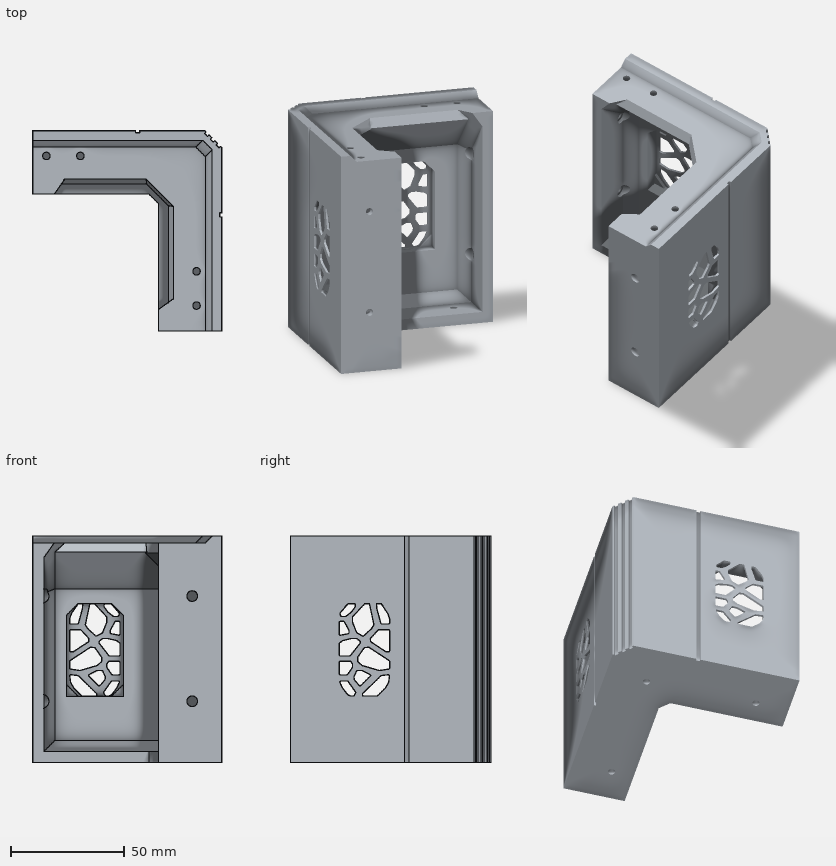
import cadquery as cq
import math

SIZE_X = 83.5
SIZE_Y = 88.5
HEIGHT = 100.0
LEG_DEPTH = 28.0
INNER_X = SIZE_X - LEG_DEPTH
INNER_Y = SIZE_Y - LEG_DEPTH
OUTER_CHAMFER = 7.6
INNER_CHAMFER = 4.2
REACH = 300.0

WALL = 7.3
FRAME = 5.0
BEVEL = 4.9
BACK_CORNER = 14.1
CORNER_BEVEL = 1.8
CAVITY_DEPTH = LEG_DEPTH - WALL
BEVEL_DEPTH = CAVITY_DEPTH - BEVEL

RIM_RISE = 3.0
RIM_DEPTH = CAVITY_DEPTH + RIM_RISE
RIM_CORNER = 4.2
LEDGE_Z = HEIGHT - RIM_RISE

LIP_DEPTH = 4.5
LIP_Z = 92.9
LIP_CORNER = 9.8
LIP_CORNER_Z = 92.5
LIP_TOP_DEPTH = 6.6
LIP_TOP_CORNER = 12.1
ROOF_BACK_Z = LIP_Z - (CAVITY_DEPTH - LIP_DEPTH)
END_BEVEL_START_Z = 90.5

WINDOW_WIDTH = 25.1
WINDOW_HEIGHT = 41.1
WINDOW_Z = 29.2
WINDOW_CHAMFER = 5.3
WINDOW_START_X = 14.9
WINDOW_END_Y = 45.2
GRATE = 1.0
GUSSET = 1.3
RIDGE_LENGTH = 7.0
RIDGE_WIDTH = 0.8
RIDGE_HEIGHT = 0.3
RIDGE_INSET = 3.1
CELL_ROUND = 0.4

GRATE_CELLS = [
    [(1.5, 32), (1.5, 34.3), (2.3, 36.6), (5.2, 40.9), (7.2, 40.9), (7, 38.6), (5.2, 32)],
    [(10.4, 40.9), (12.4, 40.9), (17.8, 35.1), (17.8, 32.8),
     (15.9, 28.1), (13.1, 26.6), (9.5, 29.9), (8.4, 31.6)],
    [(16.7, 40.9), (19.7, 40.9), (23.3, 36.8), (23, 35.4), (20.7, 35.4), (18.4, 37.2), (16.7, 39.5)],
    [(21.5, 33.1), (23.6, 33.1), (23.6, 27), (19.4, 27.8), (19.4, 29.1)],
    [(1.5, 29.4), (6.4, 29.4), (9.9, 25.6), (9.8, 24.2), (3.1, 19.8), (1.5, 19.8)],
    [(14.5, 24.4), (15.9, 25.5), (18.4, 25.5), (22.2, 24.6),
     (23.6, 23.5), (23.6, 17.9), (18.9, 17.9), (14.5, 23.5)],
    [(1.5, 15.7), (10.6, 21.7), (12.6, 21.5), (15.5, 17.3),
     (15.5, 15.4), (13.5, 13.7), (6, 11.5), (1.5, 12.2)],
    [(18.6, 15.5), (23.6, 15.5), (23.6, 9.6), (20.1, 9.6), (17.9, 12.8), (17.9, 14.4)],
    [(9.6, 9.4), (13.5, 11.4), (15.9, 11.4), (17.1, 8.8), (17, 7.4), (14.5, 4.5)],
    [(1.5, 9.6), (5.2, 9.2), (13.4, 1.2), (13.4, 0.3), (6.8, 0.3), (3.3, 3.8), (1.9, 6.3)],
    [(16.4, 1.8), (19.9, 6.8), (23.6, 6.8), (22.2, 3.8), (19.9, 0.8), (18.7, 0.3), (17.2, 0.3)],
]

GROOVE_WIDTH = 1.8
GROOVE_DEPTH = 0.9
GROOVE_X = 46.3
GROOVE_Y = 51.3
CORNER_GROOVE_PITCH = 3.6

END_HOLE_HEIGHTS = (27.1, 73.5)
END_HOLE_INSET = 13.1
LEG_X_END_DIAMETER = 3.3
LEG_Y_END_DIAMETER = 4.7
COUNTERBORE_DIAMETER = 6.2
COUNTERBORE_START = 3.5
TOP_HOLE_DIAMETER = 3.3
TOP_HOLE_DEPTH = 10.0
TOP_HOLE_INSET = 11.2
TOP_HOLES_X = (6.1, 21.1)
TOP_HOLES_Y = (11.3, 26.4)
FLOOR_HOLE_DIAMETER = 3.2
FLOOR_CORNER_INSET = 18.7
FLOOR_END_INSET = 17.9
FLOOR_END_DISTANCE = 15.0

TOWARD_X = cq.Vector(1, 0, 0)
TOWARD_Y = cq.Vector(0, 1, 0)
TOWARD_CORNER = cq.Vector(1, 1, 0)
UP = cq.Vector(0, 0, 1)


def along_wall(outward, profile):
    """Long horizontal prism from a profile of (distance from the origin along outward, height)."""
    plane = cq.Plane(origin=(0, 0, 0), xDir=outward, normal=outward.cross(UP))
    return cq.Workplane(plane).polyline(profile).close().extrude(REACH, both=True)


def mitred(profile_x, profile_y, profile_corner):
    """Space shared by the prisms of leg Y, leg X and the corner cut between them."""
    shape = along_wall(TOWARD_X, profile_x)
    shape = shape.intersect(along_wall(TOWARD_Y, profile_y))
    return shape.intersect(along_wall(TOWARD_CORNER, profile_corner))


def to_corner(depth, corner_cut):
    """Distance from the origin to a corner cut between two walls at the same depth."""
    return (INNER_X + INNER_Y + 2 * depth - corner_cut) / math.sqrt(2)


def prism(plane, outline, length):
    return cq.Workplane(plane).polyline(outline).close().extrude(length)


def bore(start, direction, diameter, length):
    return cq.Workplane(cq.Solid.makeCylinder(diameter / 2, length, cq.Vector(start), direction))


def make_block():
    plan = [
        (0, INNER_Y),
        (INNER_X - INNER_CHAMFER, INNER_Y),
        (INNER_X, INNER_Y - INNER_CHAMFER),
        (INNER_X, 0),
        (SIZE_X, 0),
        (SIZE_X, SIZE_Y - OUTER_CHAMFER),
        (SIZE_X - OUTER_CHAMFER, SIZE_Y),
        (0, SIZE_Y),
    ]
    return prism("XY", plan, HEIGHT)


def make_step():
    """Space above the ledge, bounded by the sloping inside of the rim."""

    def profile(ledge_edge, rim_edge):
        return [(-REACH, LEDGE_Z), (ledge_edge, LEDGE_Z), (rim_edge, HEIGHT), (-REACH, HEIGHT)]

    return mitred(
        profile(INNER_X + CAVITY_DEPTH, INNER_X + RIM_DEPTH),
        profile(INNER_Y + CAVITY_DEPTH, INNER_Y + RIM_DEPTH),
        profile(to_corner(CAVITY_DEPTH, RIM_CORNER), to_corner(RIM_DEPTH, RIM_CORNER)),
    )


def cavity_profile(back, bevel, roof_back_z, lip, lip_z, lip_top):
    """Cavity section: floor, 45 degree bevel, back wall, sloping roof and roof lip."""
    return [
        (-REACH, FRAME),
        (back - bevel, FRAME),
        (back, FRAME + bevel),
        (back, roof_back_z),
        (lip, lip_z),
        (lip_top, LEDGE_Z),
        (-REACH, LEDGE_Z),
    ]


def leg_profile(inner):
    back = inner + CAVITY_DEPTH
    return cavity_profile(back, BEVEL, ROOF_BACK_Z, inner + LIP_DEPTH, LIP_Z, inner + LIP_TOP_DEPTH)


def corner_profile():
    back = to_corner(CAVITY_DEPTH, BACK_CORNER)
    lip = to_corner(LIP_DEPTH, LIP_CORNER)
    lip_top = to_corner(LIP_TOP_DEPTH, LIP_TOP_CORNER)
    roof_back_z = LIP_CORNER_Z - (back - lip) / math.sqrt(2)
    return cavity_profile(back, CORNER_BEVEL, roof_back_z, lip, LIP_CORNER_Z, lip_top)


def end_bevel(outward, along, inner):
    """Half space on the end wall side of the bevel between an end wall and the 45 degree roof."""
    start = outward * inner + UP * END_BEVEL_START_Z + along * FRAME
    toward_roof = (outward + UP).normalized()
    plane = cq.Plane(origin=start, xDir=outward - UP, normal=toward_roof - along)
    return cq.Workplane(plane).rect(2 * REACH, 2 * REACH).extrude(REACH)


def make_cavity():
    cavity = mitred(leg_profile(INNER_X), leg_profile(INNER_Y), corner_profile())
    back_x = INNER_X + CAVITY_DEPTH
    back_y = INNER_Y + CAVITY_DEPTH
    plan_inside_end_walls = [
        (FRAME, FRAME),
        (INNER_X + BEVEL_DEPTH, FRAME),
        (back_x, FRAME + BEVEL),
        (back_x, back_y),
        (FRAME + BEVEL, back_y),
        (FRAME, INNER_Y + BEVEL_DEPTH),
    ]
    cavity = cavity.intersect(prism("XY", plan_inside_end_walls, HEIGHT))
    cavity = cavity.cut(end_bevel(TOWARD_Y, TOWARD_X, INNER_Y))
    return cavity.cut(end_bevel(TOWARD_X, TOWARD_Y, INNER_X))


def make_window(origin, across, inward):
    """Recess with a grate at the outer face; origin is the window's lower left outer corner."""
    outer_face = cq.Plane(origin=origin, xDir=across, normal=inward)
    width, height, cut = WINDOW_WIDTH, WINDOW_HEIGHT, WINDOW_CHAMFER
    outline = [
        (0, 0),
        (width, 0),
        (width, height - cut),
        (width - cut, height),
        (cut, height),
        (0, height - cut),
    ]
    window = prism(outer_face, outline, WALL).cut(prism(outer_face, outline, GRATE))

    left_gusset = [(0, 0), (cut, 0), (0, cut)]
    right_gusset = [(width, 0), (width, cut), (width - cut, 0)]
    for triangle in (left_gusset, right_gusset):
        window = window.cut(prism(outer_face, triangle, GRATE + GUSSET))

    ridge = (
        cq.Workplane(outer_face)
        .workplane(offset=RIDGE_INSET - RIDGE_WIDTH / 2)
        .center(width / 2, 0)
        .rect(RIDGE_LENGTH, 2 * RIDGE_HEIGHT)
        .extrude(RIDGE_WIDTH)
    )
    window = window.cut(ridge)

    across_wall = cq.selectors.ParallelDirSelector(inward)
    for cell in GRATE_CELLS:
        opening = prism(outer_face, cell, GRATE)
        window = window.union(opening.edges(across_wall).fillet(CELL_ROUND))
    return window


def groove(x, y, angle):
    """Vertical groove through the full height, centred on an outer face."""
    bar = cq.Workplane("XY").rect(GROOVE_WIDTH, 2 * GROOVE_DEPTH).extrude(HEIGHT)
    return bar.rotate((0, 0, 0), (0, 0, 1), angle).translate((x, y, 0))


def make_grooves():
    grooves = groove(GROOVE_X, SIZE_Y, 0).union(groove(SIZE_X, GROOVE_Y, 90))
    middle_x = SIZE_X - OUTER_CHAMFER / 2
    middle_y = SIZE_Y - OUTER_CHAMFER / 2
    for step in (-1, 0, 1):
        shift = step * CORNER_GROOVE_PITCH / math.sqrt(2)
        grooves = grooves.union(groove(middle_x + shift, middle_y - shift, -45))
    return grooves


def make_end_holes():
    """Holes through the two end walls, counterbored from inside the cavity."""
    x = SIZE_X - END_HOLE_INSET
    y = SIZE_Y - END_HOLE_INSET
    length = FRAME + BEVEL
    holes = cq.Workplane("XY")
    for z in END_HOLE_HEIGHTS:
        holes = holes.add(bore((0, y, z), TOWARD_X, LEG_X_END_DIAMETER, length))
        holes = holes.add(bore((COUNTERBORE_START, y, z), TOWARD_X, COUNTERBORE_DIAMETER, length))
        holes = holes.add(bore((x, 0, z), TOWARD_Y, LEG_Y_END_DIAMETER, length))
        holes = holes.add(bore((x, COUNTERBORE_START, z), TOWARD_Y, COUNTERBORE_DIAMETER, length))
    return holes.combine()


def make_top_holes():
    """Blind holes down from the ledge."""
    places = [(x, SIZE_Y - TOP_HOLE_INSET) for x in TOP_HOLES_X]
    places += [(SIZE_X - TOP_HOLE_INSET, y) for y in TOP_HOLES_Y]
    bottom = cq.Workplane("XY").workplane(offset=LEDGE_Z - TOP_HOLE_DEPTH)
    return bottom.pushPoints(places).circle(TOP_HOLE_DIAMETER / 2).extrude(TOP_HOLE_DEPTH)


def make_floor_holes():
    """Holes through the floor slab, one in the corner and one near each end."""
    places = [
        (SIZE_X - FLOOR_CORNER_INSET, SIZE_Y - FLOOR_CORNER_INSET),
        (FLOOR_END_DISTANCE, SIZE_Y - FLOOR_END_INSET),
        (SIZE_X - FLOOR_END_INSET, FLOOR_END_DISTANCE),
    ]
    return cq.Workplane("XY").pushPoints(places).circle(FLOOR_HOLE_DIAMETER / 2).extrude(FRAME)


window_x = make_window((WINDOW_START_X, SIZE_Y, WINDOW_Z), TOWARD_X, -TOWARD_Y)
window_y = make_window((SIZE_X, WINDOW_END_Y, WINDOW_Z), -TOWARD_Y, -TOWARD_X)

result = (
    make_block()
    .cut(make_step())
    .cut(make_cavity())
    .cut(window_x)
    .cut(window_y)
    .cut(make_grooves())
    .cut(make_end_holes())
    .cut(make_top_holes())
    .cut(make_floor_holes())
)